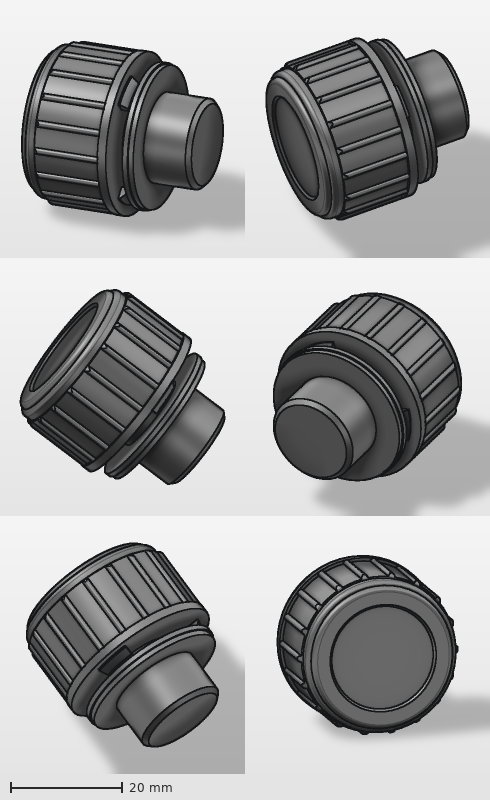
import cadquery as cq

cap_shoulder_x = 1.05
grip_start_x = 3.15
flange_start_x = 15.75
flange_end_x = 17.4
collar_start_x = 20.0
collar_step_x = 21.0
collar_end_x = 22.0
stem_end_x = 31.0

bead_diameter = 26.4
cap_diameter = 28.2
grip_diameter = 28.8
flange_diameter = 30.0
neck_diameter = 14.3
collar_diameter = 27.0
collar_step_diameter = 26.4
stem_diameter = 16.66

edge_fillet = 0.9
stem_chamfer = 0.85

recess_mouth_diameter = 19.8
recess_floor_diameter = 18.95
recess_depth = 0.5

rib_count = 18
rib_radius = (flange_diameter - grip_diameter) / 2

lug_count = 3
lug_span_angle = 30.0
lug_inner_radius = 10.55
lug_outer_radius = 12.9
lug_tip_radius = 11.48
lug_straight_length = 0.3
lug_length = 1.55
lug_root_overlap = 0.5


def disc(start_x, end_x, diameter):
    """Solid cylinder on the X axis between two stations."""
    return cq.Workplane("YZ").workplane(offset=start_x).circle(diameter / 2).extrude(end_x - start_x)


def make_cap_head():
    """Two stepped discs with rounded front edges."""
    bead = disc(0, cap_shoulder_x, bead_diameter).faces("<X").edges().fillet(edge_fillet)
    shoulder = disc(cap_shoulder_x, grip_start_x, cap_diameter).faces("<X").edges().fillet(edge_fillet)
    return bead.union(shoulder)


def make_grip():
    """Ribbed barrel whose front is rounded by one revolved fillet across barrel and ribs."""
    barrel = disc(grip_start_x, flange_start_x, grip_diameter)
    ribs = (
        cq.Workplane("YZ")
        .workplane(offset=grip_start_x)
        .polarArray(grip_diameter / 2, 0, 360, rib_count)
        .circle(rib_radius)
        .extrude(flange_start_x - grip_start_x)
    )
    envelope = disc(grip_start_x, flange_start_x, flange_diameter)
    envelope = envelope.faces("<X").edges().fillet(edge_fillet)
    return barrel.union(ribs).intersect(envelope)


def make_stem():
    """Flange, neck, stepped collar and chamfered stem."""
    flange = disc(flange_start_x, flange_end_x, flange_diameter)
    neck = disc(flange_end_x, collar_start_x, neck_diameter)
    collar = disc(collar_start_x, collar_step_x, collar_diameter)
    collar_step = disc(collar_step_x, collar_end_x, collar_step_diameter)
    stem = disc(collar_end_x, stem_end_x, stem_diameter).faces(">X").edges().chamfer(stem_chamfer)
    return flange.union(neck).union(collar).union(collar_step).union(stem)


def make_lug(center_angle):
    """Arc-shaped lug with a sloped outer face; angles run from +Y towards +Z."""
    root_x = flange_end_x - lug_root_overlap
    tip_x = flange_end_x + lug_length
    lug = (
        cq.Workplane("XY")
        .moveTo(root_x, lug_inner_radius)
        .lineTo(tip_x, lug_inner_radius)
        .lineTo(tip_x, lug_tip_radius)
        .lineTo(flange_end_x + lug_straight_length, lug_outer_radius)
        .lineTo(root_x, lug_outer_radius)
        .close()
        .revolve(lug_span_angle, (0, 0), (1, 0))
    )
    return lug.rotate((0, 0, 0), (1, 0, 0), center_angle - lug_span_angle / 2)


def make_recess():
    """Tapered disc removed from the cap face."""
    return (
        cq.Workplane("YZ")
        .circle(recess_mouth_diameter / 2)
        .workplane(offset=recess_depth)
        .circle(recess_floor_diameter / 2)
        .loft(ruled=True)
    )


result = make_cap_head().union(make_grip()).union(make_stem())
for index in range(lug_count):
    result = result.union(make_lug(index * 360 / lug_count))
result = result.cut(make_recess())